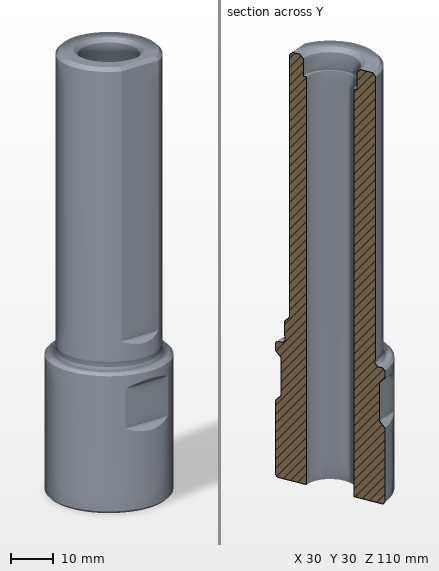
import cadquery as cq

total_length = 110.0
collar_diameter = 30.0
collar_height = 35.0
collar_chamfer = 0.7

shank_diameter = 25.0
groove_diameter = 24.6
shoulder_diameter = 25.7
shoulder_height = 35.6
groove_top = 36.3
groove_taper_top = 37.0
shank_chamfer = 0.9

shank_flat_distance = 11.1
shank_flat_bottom = 41.9

wrench_flat_distance = 13.5
wrench_flat_bottom = 21.1
wrench_flat_top = 31.0

bore_diameter = 12.9
counterbore_diameter = 14.5
counterbore_depth = 5.4
bore_chamfer = 1.0

collar_radius = collar_diameter / 2
shank_radius = shank_diameter / 2
bore_radius = bore_diameter / 2
cut_width = 2 * collar_diameter


def turned_body():
    """Solid of revolution: chamfered collar, relief groove and shank."""
    return (
        cq.Workplane("XZ")
        .moveTo(0, 0)
        .lineTo(collar_radius - collar_chamfer, 0)
        .lineTo(collar_radius, collar_chamfer)
        .lineTo(collar_radius, collar_height - collar_chamfer)
        .lineTo(collar_radius - collar_chamfer, collar_height)
        .lineTo(shoulder_diameter / 2, collar_height)
        .lineTo(groove_diameter / 2, shoulder_height)
        .lineTo(groove_diameter / 2, groove_top)
        .lineTo(shank_radius, groove_taper_top)
        .lineTo(shank_radius, total_length)
        .lineTo(0, total_length)
        .close()
        .revolve(360, (0, 0, 0), (0, 1, 0))
    )


def shank_flat_cutter():
    """Flat open at the top of the shank, ending below in a 45 degree ramp."""
    ramp = collar_radius - shank_flat_distance
    return (
        cq.Workplane("XZ")
        .moveTo(shank_flat_distance, total_length)
        .lineTo(shank_flat_distance, shank_flat_bottom)
        .lineTo(collar_radius, shank_flat_bottom - ramp)
        .lineTo(collar_radius, total_length)
        .close()
        .extrude(cut_width / 2, both=True)
    )


def wrench_flat_cutter(side):
    """Flat on one side of the collar (side is +1 or -1) with 45 degree ramps at both ends."""
    ramp = collar_radius - wrench_flat_distance
    return (
        cq.Workplane("XZ")
        .moveTo(side * wrench_flat_distance, wrench_flat_bottom)
        .lineTo(side * collar_radius, wrench_flat_bottom - ramp)
        .lineTo(side * collar_radius, wrench_flat_top + ramp)
        .lineTo(side * wrench_flat_distance, wrench_flat_top)
        .close()
        .extrude(cut_width / 2, both=True)
    )


def bore_cutter():
    """Through bore with a chamfered counterbore at the top end."""
    counterbore_radius = counterbore_diameter / 2
    return (
        cq.Workplane("XZ")
        .moveTo(0, 0)
        .lineTo(bore_radius, 0)
        .lineTo(bore_radius, total_length - counterbore_depth)
        .lineTo(counterbore_radius, total_length - counterbore_depth)
        .lineTo(counterbore_radius, total_length - bore_chamfer)
        .lineTo(counterbore_radius + bore_chamfer, total_length)
        .lineTo(0, total_length)
        .close()
        .revolve(360, (0, 0, 0), (0, 1, 0))
    )


result = turned_body().cut(shank_flat_cutter())
result = result.faces(">Z").edges().chamfer(shank_chamfer)
for side in (-1, 1):
    result = result.cut(wrench_flat_cutter(side))
result = result.cut(bore_cutter())